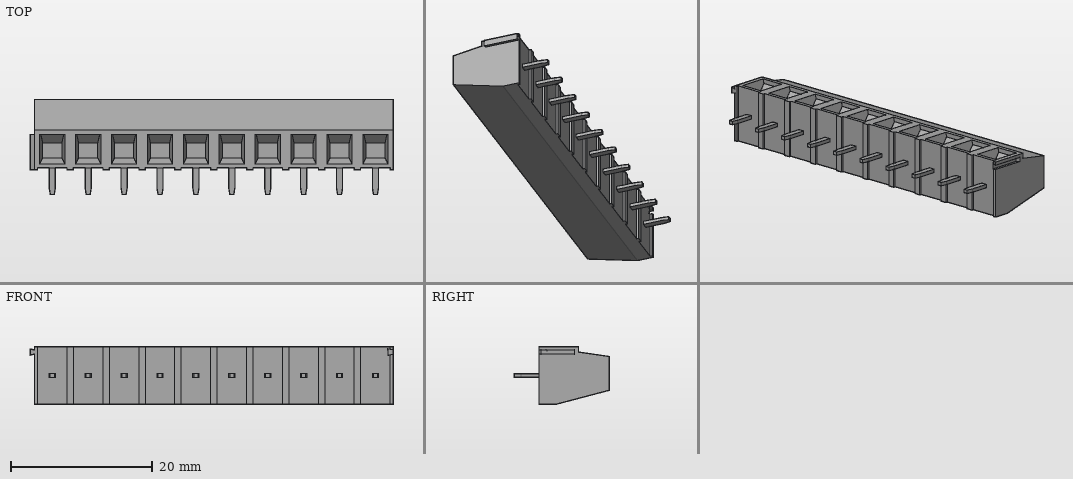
import cadquery as cq

POLES = 10
PITCH = 5.08
LENGTH = POLES * PITCH

DEPTH = 10.0
HEIGHT = 8.2
RIDGE_DEPTH = 5.65
RIDGE_STEP = 0.77
REAR_TOP_Z = 6.8
REAR_BOTTOM_Z = 2.0
FLAT_BOTTOM_DEPTH = 2.4

RIB_WIDTH = 0.92
PANEL_RECESS = 0.3

POCKET_WIDTH = 3.56
POCKET_FLOOR_WIDTH = 2.7
POCKET_FRONT_Y = 0.87
POCKET_REAR_Y = 5.05
POCKET_FLOOR_FRONT_Y = 1.7
POCKET_FLOOR_REAR_Y = 3.8
POCKET_DEPTH = 1.85
POCKET_REAR_WALL = 0.65

PIN_WIDTH = 0.9
PIN_THICKNESS = 0.5
PIN_LENGTH = 3.5
PIN_TIP_LENGTH = 0.95
PIN_TIP_WIDTH = 0.58
PIN_Z = HEIGHT / 2

RAIL_HEIGHT = 0.6
GROOVE_DEPTH = 0.77
DOVETAIL_DROP = 0.78
DOVETAIL_CENTRE_Z = HEIGHT - DOVETAIL_DROP
DOVETAIL_WIDE = 0.93
DOVETAIL_ROOT = 0.62
DOVETAIL_REAR_Y = 5.05

POLE_CENTRES = [(pole + 0.5) * PITCH for pole in range(POLES)]


def make_housing():
    profile = [
        (0, 0),
        (FLAT_BOTTOM_DEPTH, 0),
        (DEPTH, REAR_BOTTOM_Z),
        (DEPTH, REAR_TOP_Z),
        (RIDGE_DEPTH, HEIGHT - RIDGE_STEP),
        (RIDGE_DEPTH, HEIGHT),
        (0, HEIGHT),
    ]
    return cq.Workplane("YZ").polyline(profile).close().extrude(LENGTH)


def make_panel_recess(x):
    width = PITCH - RIB_WIDTH
    panel = cq.Workplane("XY").box(width, PANEL_RECESS, HEIGHT, centered=(True, False, False))
    return panel.translate((x, 0, 0))


def make_pocket(x):
    """Hopper with sloping sides and front; its rear wall drops upright, then slopes."""
    lengthwise = [
        (POCKET_FRONT_Y, HEIGHT),
        (POCKET_REAR_Y, HEIGHT),
        (POCKET_REAR_Y, HEIGHT - POCKET_REAR_WALL),
        (POCKET_FLOOR_REAR_Y, HEIGHT - POCKET_DEPTH),
        (POCKET_FLOOR_FRONT_Y, HEIGHT - POCKET_DEPTH),
    ]
    crosswise = [
        (-POCKET_WIDTH / 2, HEIGHT),
        (POCKET_WIDTH / 2, HEIGHT),
        (POCKET_FLOOR_WIDTH / 2, HEIGHT - POCKET_DEPTH),
        (-POCKET_FLOOR_WIDTH / 2, HEIGHT - POCKET_DEPTH),
    ]
    side_shape = cq.Workplane("YZ").polyline(lengthwise).close().extrude(POCKET_WIDTH / 2, both=True)
    front_shape = cq.Workplane("XZ").polyline(crosswise).close().extrude(-DEPTH)
    return side_shape.intersect(front_shape).translate((x, 0, 0))


def make_pin(x):
    outline = [
        (-PIN_WIDTH / 2, PANEL_RECESS),
        (-PIN_WIDTH / 2, PIN_TIP_LENGTH - PIN_LENGTH),
        (-PIN_TIP_WIDTH / 2, -PIN_LENGTH),
        (PIN_TIP_WIDTH / 2, -PIN_LENGTH),
        (PIN_WIDTH / 2, PIN_TIP_LENGTH - PIN_LENGTH),
        (PIN_WIDTH / 2, PANEL_RECESS),
    ]
    pin = cq.Workplane("XY").polyline(outline).close().extrude(PIN_THICKNESS / 2, both=True)
    return pin.translate((x, 0, PIN_Z))


def make_dovetail(end_x, height):
    """Dovetail bar that widens from its root at end_x toward -X."""
    root_half = DOVETAIL_ROOT / 2
    wide_half = DOVETAIL_WIDE / 2
    profile = [
        (0, -root_half),
        (-height, -wide_half),
        (-height, wide_half),
        (0, root_half),
    ]
    bar = cq.Workplane("XZ").polyline(profile).close().extrude(-DOVETAIL_REAR_Y)
    return bar.translate((end_x, 0, DOVETAIL_CENTRE_Z))


housing = make_housing()
for centre in POLE_CENTRES:
    housing = housing.cut(make_panel_recess(centre))
    housing = housing.cut(make_pocket(centre))
    housing = housing.union(make_pin(centre))

rail = make_dovetail(0, RAIL_HEIGHT)
groove = make_dovetail(LENGTH, GROOVE_DEPTH)
result = housing.union(rail).cut(groove)